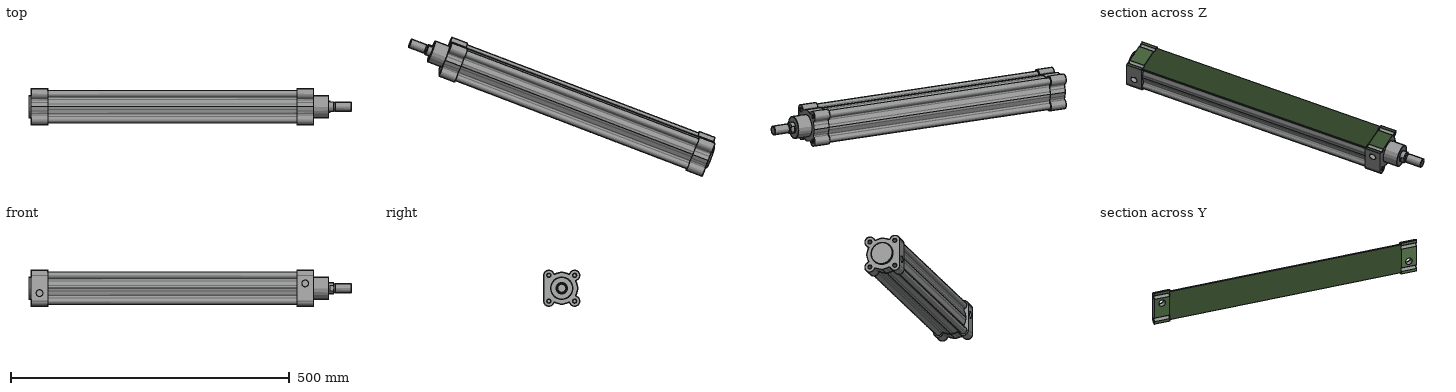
import cadquery as cq
import math

total_length = 579.0
rear_boss_length = 4.0
cap_length = 30.0
front_cap_start = 480.5
nose_end = 538.0
rear_cap_end = rear_boss_length + cap_length
front_cap_end = front_cap_start + cap_length

cap_width = 65.0
cap_barrel_radius = 28.5
cap_ridge_angle = 15.0
tie_rod_offset = 23.0
cap_lobe_radius = cap_width / 2 - tie_rod_offset
cap_fillet = 2.0
corner_hole_diameter = 6.5
corner_hole_chamfer = 0.5
boss_diameter = 40.0
boss_chamfer = 0.5
port_diameter = 12.0
port_depth = 11.5
port_offset = 8.5

barrel_radius = 28.0
barrel_ridge_angle = 10.0
barrel_lobe_radius = 6.5
barrel_fillet = 3.0

rod_diameter = 20.0
flat_start = 540.0
flat_distance = 17.5
shoulder_start = 546.0
shoulder_end = 548.0
neck_diameter = 15.5
thread_start = 550.0
thread_diameter = 16.0
tip_chamfer = 0.85

edge_tolerance = 0.001
edge_margin = 0.5

corners = [
    (y, z)
    for y in (-tie_rod_offset, tie_rod_offset)
    for z in (-tie_rod_offset, tie_rod_offset)
]


def disc(start, length, radius, y=0.0, z=0.0):
    """Cylinder along X."""
    return cq.Workplane("YZ", origin=(start, y, z)).circle(radius).extrude(length)


def ridge(start, length, radius, slope):
    """Ridge on the +Z side: two flats, tangent to a cylinder, that meet above the axis."""
    half_width = radius * math.sin(math.radians(slope))
    flat_edge = radius * math.cos(math.radians(slope))
    peak = radius / math.cos(math.radians(slope))
    outline = [(0, 0), (half_width, flat_edge), (0, peak), (-half_width, flat_edge)]
    return cq.Workplane("YZ", origin=(start, 0, 0)).polyline(outline).close().extrude(length)


def is_lobe_root(edge, radius, slope):
    """True for an edge along X where a corner lobe meets the cylinder, outside its ridges."""
    centre = edge.Center()
    on_cylinder = math.isclose(math.hypot(centre.y, centre.z), radius, rel_tol=edge_tolerance)
    ridge_half_width = radius * math.sin(math.radians(slope))
    beyond_ridges = min(abs(centre.y), abs(centre.z)) > ridge_half_width + edge_margin
    return on_cylinder and beyond_ridges


def lobed_body(start, length, radius, slope, lobe_radius, fillet):
    """Cylinder with a ridge on each of its four sides and a blended round lobe at each corner."""
    body = disc(start, length, radius)
    side_ridge = ridge(start, length, radius, slope)
    for quarter in range(4):
        body = body.union(side_ridge.rotate((0, 0, 0), (1, 0, 0), 90 * quarter))
    for y, z in corners:
        body = body.union(disc(start, length, lobe_radius, y, z))
    lobe_roots = [edge for edge in body.edges("|X").vals() if is_lobe_root(edge, radius, slope)]
    return body.newObject(lobe_roots).fillet(fillet)


def make_cap(start, port_z):
    """Lobed cap with a flat -Y side, a blind port in it and a chamfered hole in each corner."""
    cap = lobed_body(
        start, cap_length, cap_barrel_radius, cap_ridge_angle, cap_lobe_radius, cap_fillet
    )
    flat_side = cq.Workplane("XY").box(
        cap_length, cap_width / 2, 2 * tie_rod_offset, centered=(False, False, True)
    )
    cap = cap.union(flat_side.translate((start, -cap_width / 2, 0)))
    for y, z in corners:
        cap = cap.cut(disc(start, cap_length, corner_hole_diameter / 2, y, z))
    hole_rims = cq.selectors.RadiusNthSelector(0)
    cap = cap.edges(hole_rims).chamfer(corner_hole_chamfer)
    port_plane = cq.Workplane("XZ", origin=(start + cap_length / 2, -cap_width / 2, port_z))
    port = port_plane.circle(port_diameter / 2).extrude(-port_depth)
    return cap.cut(port)


def make_rear_cap():
    """Cap with a short round boss on its rear face."""
    boss = disc(0, rear_boss_length, boss_diameter / 2)
    boss = boss.faces("<X").edges().chamfer(boss_chamfer)
    return make_cap(rear_boss_length, -port_offset).union(boss)


def make_front_cap():
    """Cap with a long round nose that faces the rod end."""
    nose = disc(front_cap_end, nose_end - front_cap_end, boss_diameter / 2)
    nose = nose.faces(">X").edges().chamfer(boss_chamfer)
    return make_cap(front_cap_start, port_offset).union(nose)


def make_barrel():
    """Lobed barrel that fills the space between the caps."""
    length = front_cap_start - rear_cap_end
    return lobed_body(
        rear_cap_end, length, barrel_radius, barrel_ridge_angle, barrel_lobe_radius, barrel_fillet
    )


def make_rod():
    """Piston rod with a tapered shoulder, a neck, a thread with a chamfered tip, and wrench flats."""
    rod_radius = rod_diameter / 2
    thread_radius = thread_diameter / 2
    neck_radius = neck_diameter / 2
    half_outline = [
        (nose_end, 0),
        (nose_end, rod_radius),
        (shoulder_start, rod_radius),
        (shoulder_end, neck_radius),
        (thread_start, neck_radius),
        (thread_start, thread_radius),
        (total_length - tip_chamfer, thread_radius),
        (total_length, thread_radius - tip_chamfer),
        (total_length, 0),
    ]
    rod = cq.Workplane("XY").polyline(half_outline).close().revolve(360, (0, 0, 0), (1, 0, 0))
    flat_cut = cq.Workplane("XY").box(
        thread_start - flat_start, rod_diameter, rod_diameter, centered=(False, False, True)
    )
    rod = rod.cut(flat_cut.translate((flat_start, flat_distance / 2, 0)))
    return rod.cut(flat_cut.translate((flat_start, -flat_distance / 2 - rod_diameter, 0)))


rear_cap = make_rear_cap()
front_cap = make_front_cap()
barrel = make_barrel()
rod = make_rod()

result = cq.Compound.makeCompound([rear_cap.val(), front_cap.val(), barrel.val(), rod.val()])